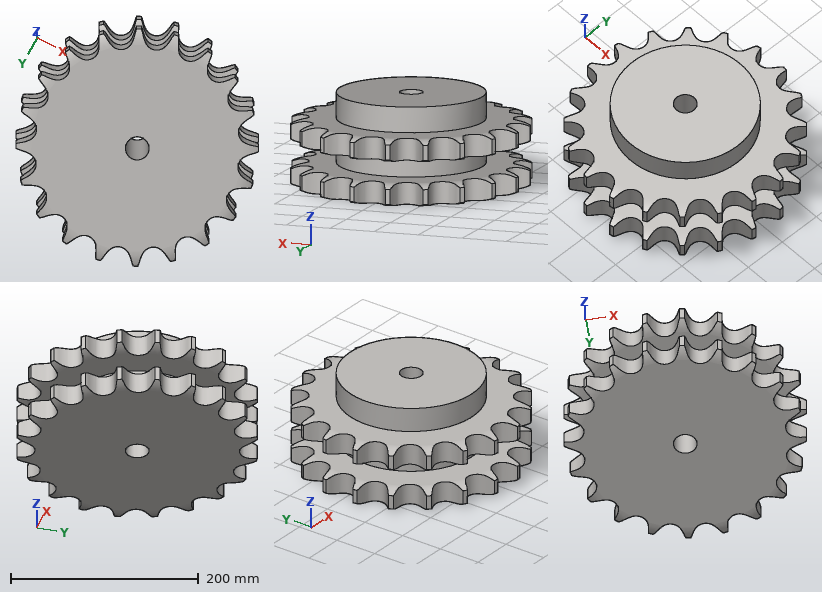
import cadquery as cq
import math


TEETH = 20
PITCH_DIAMETER = 243.5
ROLLER_DIAMETER = 25.4
SEAT_CLEARANCE = 0.038
OVERALL_WIDTH = 256.2
RIM_THICKNESS = 23.8
STRAND_SPACING = 48.2
TOTAL_HEIGHT = 100.0
HUB_DIAMETER = 160.0
BORE_DIAMETER = 25.0

PITCH_RADIUS = PITCH_DIAMETER / 2
HALF_STEP = math.pi / TEETH
CHAIN_PITCH = PITCH_DIAMETER * math.sin(HALF_STEP)
CROWN_RADIUS = CHAIN_PITCH
CROWN_DROP = 0.1 * CHAIN_PITCH

SEAT_ANGLE = math.radians(35 + 60 / TEETH)
WORKING_ANGLE = math.radians(18 - 56 / TEETH)
TOPPING_ANGLE = math.radians(17 - 64 / TEETH)
SEAT_RADIUS = 0.5025 * ROLLER_DIAMETER + SEAT_CLEARANCE
WORKING_OFFSET = 0.8 * ROLLER_DIAMETER
TOPPING_OFFSET = 1.4 * ROLLER_DIAMETER
WORKING_RADIUS = WORKING_OFFSET + SEAT_RADIUS
TOPPING_RADIUS = (
    WORKING_OFFSET * math.cos(WORKING_ANGLE)
    + TOPPING_OFFSET * math.cos(TOPPING_ANGLE)
    - WORKING_RADIUS
)
FLAT_LENGTH = (
    TOPPING_OFFSET * math.sin(TOPPING_ANGLE)
    - WORKING_OFFSET * math.sin(WORKING_ANGLE)
)


def polar(center, radius, angle):
    """Point at a distance and direction (radians) from a center."""
    return (center[0] + radius * math.cos(angle), center[1] + radius * math.sin(angle))


def mirrored(point):
    """Point reflected across the Y axis."""
    return (-point[0], point[1])


ROLLER_CENTER = (0, PITCH_RADIUS)
WORKING_CENTER = polar(ROLLER_CENTER, WORKING_OFFSET, SEAT_ANGLE)
TOPPING_CENTER = polar(ROLLER_CENTER, TOPPING_OFFSET, math.pi + HALF_STEP)

FLAT_NORMAL = SEAT_ANGLE - WORKING_ANGLE
ROOT = (0, PITCH_RADIUS - SEAT_RADIUS)
SEAT_END = polar(ROLLER_CENTER, SEAT_RADIUS, math.pi + SEAT_ANGLE)
WORKING_MIDDLE = polar(WORKING_CENTER, WORKING_RADIUS, math.pi + SEAT_ANGLE - WORKING_ANGLE / 2)
WORKING_END = polar(WORKING_CENTER, WORKING_RADIUS, math.pi + FLAT_NORMAL)
FLAT_END = polar(WORKING_END, FLAT_LENGTH, math.pi / 2 + FLAT_NORMAL)

CORNER_ANGLE = math.asin((OVERALL_WIDTH / 2 - TOPPING_CENTER[1]) / TOPPING_RADIUS)
TOOTH_CORNER = polar(TOPPING_CENTER, TOPPING_RADIUS, CORNER_ANGLE)
TOPPING_MIDDLE = polar(TOPPING_CENTER, TOPPING_RADIUS, (FLAT_NORMAL + CORNER_ANGLE) / 2)
TIP_RADIUS = math.hypot(*TOOTH_CORNER)


def turned(point, gap):
    """Point of the first gap carried round the sprocket to another gap."""
    angle = math.atan2(point[1], point[0]) - gap * 2 * HALF_STEP
    return polar((0, 0), math.hypot(*point), angle)


def toothed_blank():
    """Plate with the full tooth outline and square edges."""
    outline = cq.Workplane("XY").moveTo(*TOOTH_CORNER)
    for gap in range(TEETH):
        def at(point):
            return turned(point, gap)

        next_corner = turned(TOOTH_CORNER, gap + 1)
        tip_middle = polar((0, 0), TIP_RADIUS, math.pi / 2 - (2 * gap + 1) * HALF_STEP)
        outline = (
            outline
            .threePointArc(at(TOPPING_MIDDLE), at(FLAT_END))
            .lineTo(*at(WORKING_END))
            .threePointArc(at(WORKING_MIDDLE), at(SEAT_END))
            .threePointArc(at(ROOT), at(mirrored(SEAT_END)))
            .threePointArc(at(mirrored(WORKING_MIDDLE)), at(mirrored(WORKING_END)))
            .lineTo(*at(mirrored(FLAT_END)))
            .threePointArc(at(mirrored(TOPPING_MIDDLE)), at(mirrored(TOOTH_CORNER)))
            .threePointArc(tip_middle, next_corner)
        )
    return outline.close().extrude(RIM_THICKNESS)


def crowned_disc():
    """Disc whose faces curve inward towards the rim, tangent to the flat sides."""
    sweep = math.acos(1 - CROWN_DROP / CROWN_RADIUS)
    flat_radius = TIP_RADIUS - CROWN_RADIUS * math.sin(sweep)
    middle_radius = flat_radius + CROWN_RADIUS * math.sin(sweep / 2)
    middle_drop = CROWN_RADIUS * (1 - math.cos(sweep / 2))
    return (
        cq.Workplane("XZ")
        .lineTo(flat_radius, 0)
        .threePointArc((middle_radius, middle_drop), (TIP_RADIUS, CROWN_DROP))
        .lineTo(TIP_RADIUS, RIM_THICKNESS - CROWN_DROP)
        .threePointArc((middle_radius, RIM_THICKNESS - middle_drop), (flat_radius, RIM_THICKNESS))
        .lineTo(0, RIM_THICKNESS)
        .close()
        .revolve(360, (0, 0, 0), (0, 1, 0))
    )


rim = toothed_blank().intersect(crowned_disc())
hub = cq.Workplane("XY").circle(HUB_DIAMETER / 2).extrude(TOTAL_HEIGHT)
bore = cq.Workplane("XY").circle(BORE_DIAMETER / 2).extrude(TOTAL_HEIGHT)

upper_rim = rim.translate((0, 0, STRAND_SPACING))

result = hub.union(rim).union(upper_rim).cut(bore)